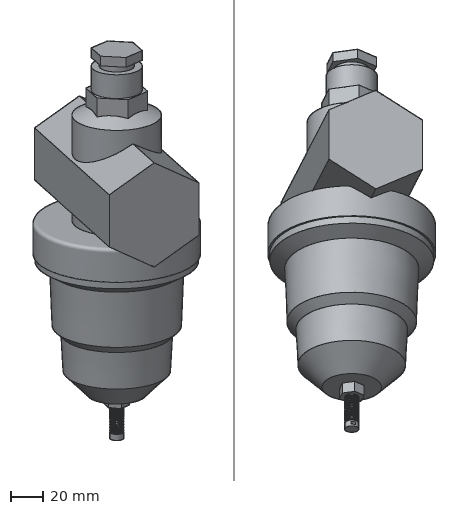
import cadquery as cq
import math

total_height = 259.0

body_length = 130.0
body_across_flats = 60.0
body_axis_z = 171.0

neck_diameter = 56.0
shoulder_z = 215.2
shoulder_angle = 27.0

fitting_nut_across_flats = 34.0
fitting_nut_top_z = 232.0
barrel_diameter = 32.0
barrel_top_z = 247.9
groove_diameter = 22.0
cap_across_flats = 28.0
cap_thickness = 6.5

flange_diameter = 105.0
flange_top_z = 145.0
flange_bottom_z = 123.0
flange_fillet = 2.5
lip_diameter = 102.5
lip_bottom_z = 118.4
upper_stage_top_diameter = 84.0
upper_stage_top_z = 112.7
upper_stage_bottom_diameter = 81.0
upper_stage_bottom_z = 75.4
lower_stage_top_diameter = 70.0
lower_stage_top_z = 70.0
lower_stage_bottom_diameter = 67.3
lower_stage_bottom_z = 45.0
bonnet_tip_diameter = 37.0
bonnet_bottom_z = 29.5

lock_nut_across_flats = 14.0
lock_nut_bottom_z = 22.5
stud_diameter = 8.8
thread_end_z = 4.1
thread_pitch = 1.0
thread_depth = 0.5

recess_width = 3.0
recess_height = 1.5
recess_depth = 0.5
recess_centre_z = 2.3


def vertical_cylinder(diameter, bottom_z, top_z):
    return cq.Workplane("XY").workplane(offset=bottom_z).circle(diameter / 2).extrude(top_z - bottom_z)


def vertical_hexagon(across_flats, bottom_z, top_z):
    """Hexagonal prism with two corners on the X axis."""
    across_corners = across_flats / math.cos(math.radians(30))
    return (
        cq.Workplane("XY")
        .workplane(offset=bottom_z)
        .polygon(6, across_corners)
        .extrude(top_z - bottom_z)
    )


def revolved(profile):
    """Solid of revolution about Z from (radius, z) points."""
    return cq.Workplane("XZ").polyline(profile).close().revolve(360, (0, 0), (0, 1))


def body_bar():
    """Hexagonal bar along X with one edge on top."""
    across_corners = body_across_flats / math.cos(math.radians(30))
    bar = cq.Workplane("YZ").polygon(6, across_corners).extrude(body_length / 2, both=True)
    return bar.rotate((0, 0, 0), (1, 0, 0), 90).translate((0, 0, body_axis_z))


def neck():
    """Cylinder from the flange up, closed by a cone that runs into the fitting nut."""
    cone_top_radius = fitting_nut_across_flats / 2
    cone_rise = (neck_diameter / 2 - cone_top_radius) * math.tan(math.radians(shoulder_angle))
    cone_top_z = shoulder_z + cone_rise
    return revolved([
        (0, flange_bottom_z),
        (neck_diameter / 2, flange_bottom_z),
        (neck_diameter / 2, shoulder_z),
        (cone_top_radius, cone_top_z),
        (0, cone_top_z),
    ])


def top_fitting():
    cap_bottom_z = total_height - cap_thickness
    nut = vertical_hexagon(fitting_nut_across_flats, shoulder_z, fitting_nut_top_z)
    barrel = vertical_cylinder(barrel_diameter, fitting_nut_top_z, barrel_top_z)
    groove = vertical_cylinder(groove_diameter, barrel_top_z, cap_bottom_z)
    cap = vertical_hexagon(cap_across_flats, cap_bottom_z, total_height)
    return nut.union(barrel).union(groove).union(cap)


def bonnet():
    stages = revolved([
        (0, flange_bottom_z),
        (lip_diameter / 2, flange_bottom_z),
        (lip_diameter / 2, lip_bottom_z),
        (upper_stage_top_diameter / 2, upper_stage_top_z),
        (upper_stage_bottom_diameter / 2, upper_stage_bottom_z),
        (lower_stage_top_diameter / 2, lower_stage_top_z),
        (lower_stage_bottom_diameter / 2, lower_stage_bottom_z),
        (bonnet_tip_diameter / 2, bonnet_bottom_z),
        (0, bonnet_bottom_z),
    ])
    flange = vertical_cylinder(flange_diameter, flange_bottom_z, flange_top_z)
    flange = flange.faces(">Z").edges().fillet(flange_fillet)
    return flange.union(stages)


def threaded_stud():
    """Stud whose thread is a row of V grooves between its plain tip and the lock nut."""
    stud_radius = stud_diameter / 2
    root_radius = stud_radius - thread_depth
    groove_count = round((lock_nut_bottom_z - thread_end_z) / thread_pitch)
    profile = [(0, 0), (stud_radius, 0), (stud_radius, thread_end_z)]
    for i in range(groove_count):
        groove_z = thread_end_z + i * thread_pitch
        profile.append((root_radius, groove_z + thread_pitch / 2))
        profile.append((stud_radius, groove_z + thread_pitch))
    profile.append((stud_radius, bonnet_bottom_z))
    profile.append((0, bonnet_bottom_z))
    return revolved(profile)


def stud_recess():
    return cq.Workplane("XY").box(2 * recess_depth, recess_width, recess_height).translate(
        (-stud_diameter / 2, 0, recess_centre_z)
    )


lock_nut = vertical_hexagon(lock_nut_across_flats, lock_nut_bottom_z, bonnet_bottom_z)

result = (
    body_bar()
    .union(neck())
    .union(top_fitting())
    .union(bonnet())
    .union(lock_nut)
    .union(threaded_stud())
    .cut(stud_recess())
)